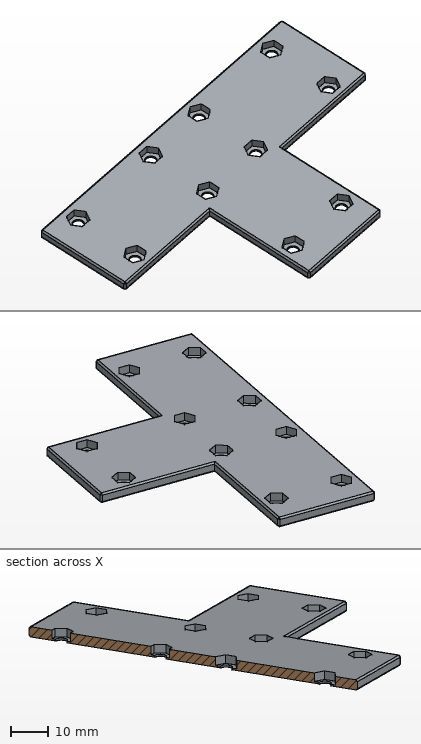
import cadquery as cq
import math

length = 99.8
total_width = 64.8
thickness = 3.0
bar_width = 29.8
edge_chamfer = 0.5

hole_diameter = 3.4
nut_across_flats = 5.5
nut_pocket_depth = 2.4
short_spacing = 20.0
long_spacing = 30.0

nut_across_corners = nut_across_flats / math.cos(math.pi / 6)
left_x = (bar_width - short_spacing) / 2
right_x = left_x + short_spacing
arm_x = right_x + long_spacing
inner_y = short_spacing / 2
outer_y = inner_y + long_spacing


def make_plate():
    """T-shaped plate with all edges chamfered except the two inner corners."""
    half_arm = bar_width / 2
    half_length = length / 2
    outline = [
        (0, -half_length),
        (bar_width, -half_length),
        (bar_width, -half_arm),
        (total_width, -half_arm),
        (total_width, half_arm),
        (bar_width, half_arm),
        (bar_width, half_length),
        (0, half_length),
    ]
    plate = cq.Workplane("XY").polyline(outline).close().extrude(thickness)
    outer_corners = plate.edges("|Z and (<X or >X or <Y or >Y)")
    return outer_corners.add(plate.edges("#Z")).chamfer(edge_chamfer)


def make_screw_seat(x, y, corner_angle):
    """Through hole with a nut pocket; corner_angle turns a pocket corner away from +X."""
    hole = cq.Workplane("XY").circle(hole_diameter / 2).extrude(thickness)
    pocket = (
        cq.Workplane("XY")
        .workplane(offset=thickness - nut_pocket_depth)
        .polygon(6, nut_across_corners)
        .extrude(nut_pocket_depth)
        .rotate((0, 0, 0), (0, 0, 1), corner_angle)
    )
    return hole.union(pocket).translate((x, y, 0))


seats = [(x, y) for x in (left_x, right_x) for y in (-outer_y, -inner_y, inner_y, outer_y)]
seats += [(arm_x, -inner_y), (arm_x, inner_y)]

result = make_plate()
for x, y in seats:
    points_along_x = (x == left_x) == (y > 0)
    result = result.cut(make_screw_seat(x, y, 0 if points_along_x else 90))